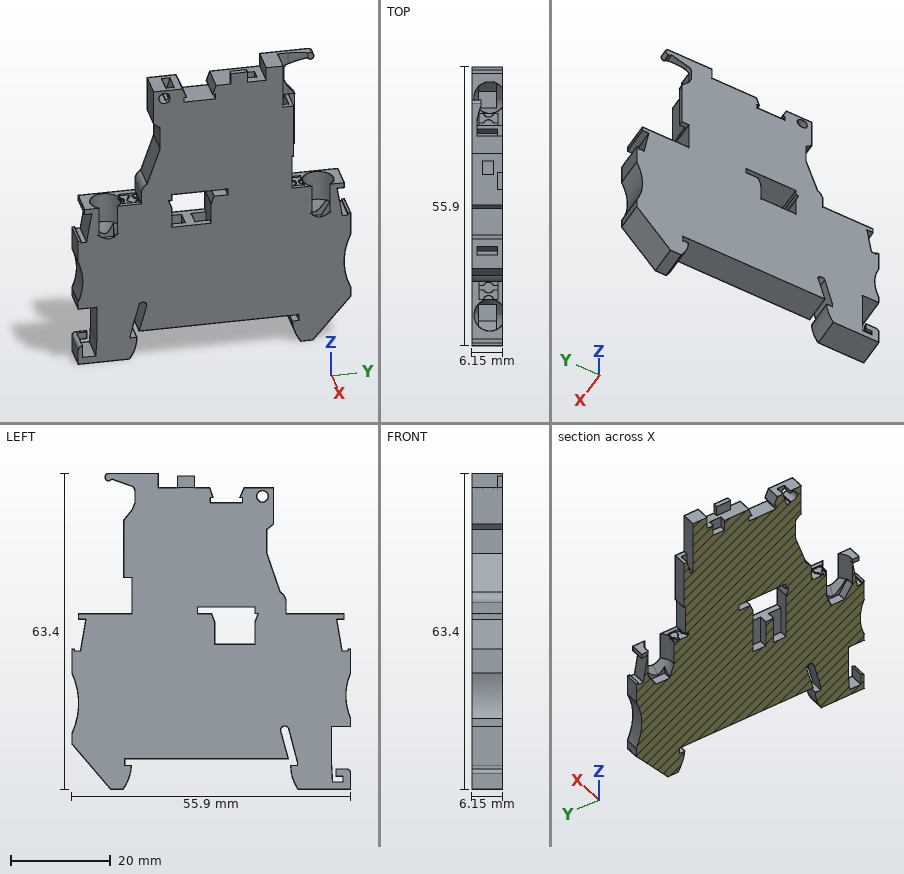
import cadquery as cq

width = 6.15
length = 55.9
height = 63.4

left = -width / 2
right = width / 2
half_length = length / 2

base_top = 35.25
rail_face = 6.15
rail_lip = 4.8
lip_end = 26.6
flange_bottom = 34.1
shoulder_top = 27.75
shoulder_peak = 28.15
shoulder_rim = 27.4
neck_top = 25.15
neck_bottom = 26.25
waist_top = 23.3
notch_floor = 29.15
notch_back = -0.7
notch_front = -8.75
notch_chamfer = 1.65
notch_flare = 0.65
foot_top = 12.6
foot_face = -24.15
hook_top = 4.1
hook_floor = 1.5
hook_lip = -25.0
hook_wall = -27.05
hook_lip_thickness = 0.65

funnel_y = 21.8
funnel_x = 0.5
funnel_radius = 3.2
funnel_depth = 6.35
throat_radius = 1.5
clamp_side_x = 3.6
clamp_inner_y = 19.7
clamp_outer_y = 23.0
clamp_ramp_y = funnel_y + funnel_radius
clamp_depth = 3.2
pad_x = 0.25
pad_width = 3.85
pad_inner_y = 15.1
pad_outer_y = 18.65
pad_depth = 0.3
screw_y = 16.3
screw_radius = 1.1
screw_relief_y = 18.95
screw_slot_width = 0.9
screw_depth = 0.3

floor_pocket_width = 3.5
floor_pocket_length = 3.05
floor_pocket_depth = 6.35

plug_top = 60.5
plug_bottom = base_top
plug_back = 17.55
plug_foot_back = 15.9
plug_front = -12.5
plug_waist = -11.15
plug_relief_top = 36.6
marker_floor = 57.5
marker_undercut = 58.5
marker_back = 0.2
marker_front = -6.2
plate_thickness = 1.0
shelf_back = 16.2
shelf_top = 54.0
lever_block_back = 14.1
lever_block_front = 10.6
lever_tip_thickness = 1.85
lever_tip_back = 21.3
lever_tip_front = 20.1
hinge_y = plug_front
hinge_z = 37.45
hinge_radius = 2.55

slot_width = 4.05
shelf_slot = (15.45, lever_block_back, 14.65)
front_slot = (-8.05, -9.75, -8.95)
slot_depth = 3.2
test_pocket_x = (-0.95, 1.25)
test_pocket_y = (6.35, 9.05)
test_pocket_depth = 2.55
tab_y = (3.35, 6.8)
tab_top = 62.9
tab_thickness = 1.0
cross_hole_y = -10.25
cross_hole_z = 58.75
cross_hole_radius = 1.15


def sketch(start_y, start_z):
    """Start a Y-Z outline on the left face."""
    return cq.Workplane("YZ", origin=(left, 0, 0)).moveTo(start_y, start_z)


def box(x_range, y_range, z_range):
    """Box between pairs of limits."""
    size = [high - low for low, high in (x_range, y_range, z_range)]
    corner = (x_range[0], y_range[0], z_range[0])
    return cq.Workplane("XY").box(*size, centered=False).translate(corner)


def cylinder_down(x, y, top, radius, depth):
    """Vertical cylinder reaching down from a given height."""
    return cq.Workplane("XY", origin=(x, y, top - depth)).circle(radius).extrude(depth)


def base_housing():
    outline = (
        sketch(lip_end, base_top)
        .lineTo(lip_end, flange_bottom)
        .lineTo(neck_top, flange_bottom)
        .lineTo(neck_bottom, shoulder_top)
        .lineTo(shoulder_rim, shoulder_top)
        .lineTo(shoulder_rim, shoulder_peak)
        .lineTo(half_length, shoulder_peak)
        .lineTo(half_length, waist_top)
        .threePointArc((lip_end, 17.3), (half_length, 11.2))
        .lineTo(half_length, 9.1)
        .lineTo(20.15, 0)
        .lineTo(17.7, 0)
        .threePointArc((16.5, 2.35), (16.0, rail_lip))
        .lineTo(17.3, rail_lip)
        .lineTo(17.3, rail_face)
        .lineTo(-15.45, rail_face)
        .lineTo(-13.9, 11.9)
        .threePointArc((-14.5, 12.7), (-15.45, 12.3))
        .lineTo(-17.25, 5.5)
        .lineTo(-17.25, rail_lip)
        .lineTo(-15.9, rail_lip)
        .threePointArc((-16.3, 2.3), (-17.4, 0))
        .lineTo(-half_length, 0)
        .lineTo(-half_length, 3.25)
        .threePointArc((-27.7, 3.85), (hook_wall, hook_top))
        .lineTo(hook_lip, hook_top)
        .lineTo(hook_lip, 2.6)
        .lineTo(-26.35, 2.6)
        .lineTo(-26.35, hook_floor)
        .lineTo(-24.35, hook_floor)
        .lineTo(foot_face, rail_lip)
        .lineTo(foot_face, foot_top)
        .lineTo(-half_length, foot_top)
        .lineTo(-half_length, 14.25)
        .threePointArc((-27.0, 18.8), (-half_length, waist_top))
        .lineTo(-half_length, shoulder_peak)
        .lineTo(-shoulder_rim, shoulder_peak)
        .lineTo(-shoulder_rim, shoulder_top)
        .lineTo(-neck_bottom, shoulder_top)
        .lineTo(-neck_top, flange_bottom)
        .lineTo(-lip_end, flange_bottom)
        .lineTo(-lip_end, base_top)
        .lineTo(notch_front - notch_flare, base_top)
        .lineTo(notch_front, base_top - notch_chamfer)
        .lineTo(notch_front, notch_floor)
        .lineTo(notch_back, notch_floor)
        .lineTo(notch_back, base_top - notch_chamfer)
        .lineTo(notch_back + notch_flare, base_top)
        .close()
    )
    return outline.extrude(width)


def wire_entry():
    """Cutter for the funnel, clamp opening and screw pad at the +Y end."""
    funnel = cylinder_down(funnel_x, funnel_y, base_top, funnel_radius, funnel_depth)
    funnel_floor = base_top - funnel_depth
    throat = (
        cq.Workplane("XY", origin=(funnel_x, funnel_y, funnel_floor))
        .circle(funnel_radius)
        .workplane(offset=-clamp_depth)
        .center(-funnel_x, (clamp_inner_y + clamp_outer_y) / 2 - funnel_y)
        .circle(throat_radius)
        .loft()
    )
    clamp = (
        sketch(clamp_inner_y, funnel_floor)
        .lineTo(clamp_ramp_y, funnel_floor)
        .lineTo(clamp_outer_y, funnel_floor - clamp_depth)
        .lineTo(clamp_inner_y, funnel_floor - clamp_depth)
        .close()
        .extrude(clamp_side_x)
        .translate((-left - clamp_side_x / 2, 0, 0))
    )
    pad_floor = base_top - pad_depth
    pad_x_range = (pad_x - pad_width / 2, pad_x + pad_width / 2)
    pad = box(pad_x_range, (pad_inner_y, pad_outer_y), (pad_floor, base_top))
    slot_y_range = (screw_y - screw_slot_width / 2, screw_y + screw_slot_width / 2)
    screw_slot = box(pad_x_range, slot_y_range, (pad_floor - screw_depth, pad_floor))
    cutter = funnel.union(throat).union(clamp).union(pad).union(screw_slot)
    for y in (screw_y, screw_relief_y):
        cutter = cutter.union(cylinder_down(pad_x, y, pad_floor, screw_radius, screw_depth))
    return cutter


def beside_hook_lip():
    """Cutter that leaves the hook's inward lip only along the -X face."""
    return box((left + hook_lip_thickness, right), (hook_wall, hook_lip), (hook_floor, hook_top))


def floor_pockets():
    """Cutter for the two pockets at the ends of the notch floor."""
    x_range = (-floor_pocket_width / 2, floor_pocket_width / 2)
    z_range = (notch_floor - floor_pocket_depth, notch_floor)
    back = box(x_range, (notch_back - floor_pocket_length, notch_back), z_range)
    front = box(x_range, (notch_front, notch_front + floor_pocket_length), z_range)
    return back.union(front)


def plug_body():
    outline = (
        sketch(20.65, height)
        .threePointArc((lever_tip_back, 62.6), (20.6, 61.8))
        .lineTo(19.9, 62.2)
        .lineTo(16.35, 60.9)
        .threePointArc((15.6, 60.5), (15.35, 59.8))
        .lineTo(15.35, 57.35)
        .lineTo(plug_foot_back, 56.0)
        .lineTo(plug_back, shelf_top)
        .lineTo(plug_back, 42.45)
        .lineTo(plug_foot_back, 42.45)
        .lineTo(plug_foot_back, plug_bottom)
        .lineTo(2.7, plug_bottom)
        .lineTo(2.7, plug_relief_top)
        .lineTo(notch_front, plug_relief_top)
        .lineTo(notch_front, plug_bottom)
        .lineTo(hinge_y, plug_bottom)
        .lineTo(hinge_y, hinge_z)
        .lineTo(-13.8, 39.6)
        .lineTo(plug_waist, 47.35)
        .lineTo(plug_waist, 52.1)
        .lineTo(plug_front, 53.2)
        .lineTo(plug_front, plug_top)
        .lineTo(-6.6, plug_top)
        .lineTo(-5.7, marker_undercut)
        .lineTo(marker_front, marker_undercut)
        .lineTo(marker_front, marker_floor)
        .lineTo(marker_back, marker_floor)
        .lineTo(marker_back, marker_undercut)
        .lineTo(-0.4, marker_undercut)
        .lineTo(0.3, plug_top)
        .lineTo(lever_block_front, plug_top)
        .lineTo(lever_block_front, height)
        .close()
    )
    return outline.extrude(width)


def beside_lever():
    """Cutter for the space on the +X side of the lever and of the side plate."""
    plate_right = left + plate_thickness
    tip_right = left + lever_tip_thickness
    above_shelf = (
        cq.Workplane("XY", origin=(0, 0, shelf_top))
        .moveTo(right, lever_block_back)
        .lineTo(plate_right, lever_block_back)
        .lineTo(plate_right, shelf_back)
        .threePointArc((left + 1.2, 18.2), (tip_right, lever_tip_front))
        .lineTo(tip_right, half_length)
        .lineTo(right, half_length)
        .close()
        .extrude(height - shelf_top)
    )
    below_shelf = box((plate_right, right), (shelf_back, plug_back), (plug_bottom, shelf_top))
    return above_shelf.union(below_shelf)


def hinge():
    outline = (
        sketch(hinge_y - hinge_radius, base_top)
        .lineTo(hinge_y - hinge_radius, hinge_z)
        .threePointArc((hinge_y, hinge_z + hinge_radius), (hinge_y + hinge_radius, hinge_z))
        .lineTo(hinge_y + hinge_radius, base_top)
        .close()
    )
    return outline.extrude(width)


def sloped_slot(back, front, floor_back, top):
    """Cutter for a slot across X whose +Y wall slopes down to the floor."""
    return (
        sketch(back, top)
        .lineTo(floor_back, top - slot_depth)
        .lineTo(front, top - slot_depth)
        .lineTo(front, top)
        .close()
        .extrude(slot_width)
        .translate((-left - slot_width / 2, 0, 0))
    )


entry = wire_entry()
base = base_housing().cut(entry).cut(entry.mirror("XZ")).cut(floor_pockets())
base = base.cut(beside_hook_lip())

plug = plug_body().cut(beside_lever())
plug = plug.cut(sloped_slot(*shelf_slot, shelf_top))
plug = plug.cut(sloped_slot(*front_slot, plug_top))
test_pocket_z = (plug_top - test_pocket_depth, plug_top)
plug = plug.cut(box(test_pocket_x, test_pocket_y, test_pocket_z))
cross_hole = sketch(cross_hole_y, cross_hole_z).circle(cross_hole_radius).extrude(width)
plug = plug.cut(cross_hole)

tab = box((right - tab_thickness, right), tab_y, (plug_top, tab_top))

result = base.union(plug).union(hinge()).union(tab)